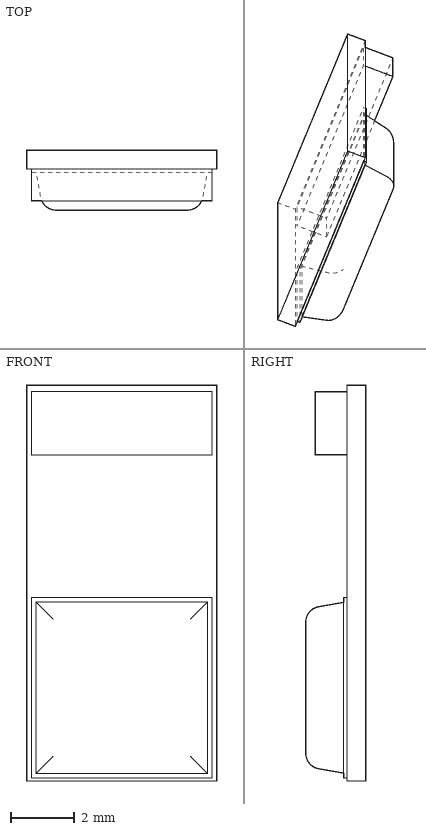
import cadquery as cq

board_width = 6.0
board_height = 12.5
board_thickness = 0.6

mounted_width = 5.7

block_height = 2.0
block_depth = 1.0
block_top_margin = 0.2

base_thickness = 0.1
base_bottom_margin = 0.1
cap_side = 5.4
cap_taper = 10.0
cap_edge_radius = 0.5
total_depth = 1.9
cap_depth = total_depth - board_thickness - base_thickness

board_front = -board_thickness
base_front = board_front - base_thickness
block_center_z = board_height - block_top_margin - block_height / 2
module_center_z = base_bottom_margin + mounted_width / 2


def plate(width, height, thickness, back_y, center_z, taper=0.0):
    """Rectangular plate centred on X = 0 that grows from back_y toward -Y."""
    back_plane = cq.Workplane("XZ", origin=(0, back_y, center_z))
    return back_plane.rect(width, height).extrude(thickness, taper=taper)


def make_board():
    """Board and its top block, as one solid."""
    panel = plate(board_width, board_height, board_thickness, 0, board_height / 2)
    block = plate(mounted_width, block_height, block_depth, board_front, block_center_z)
    return panel.union(block)


def make_module():
    """Square base and its tapered cap with rounded front edges, as one solid."""
    base = plate(mounted_width, mounted_width, base_thickness, board_front, module_center_z)
    cap = plate(cap_side, cap_side, cap_depth, base_front, module_center_z, cap_taper)
    cap = cap.faces("<Y").edges().fillet(cap_edge_radius)
    return base.union(cap)


board = make_board()
module = make_module()

result = cq.Compound.makeCompound([board.val(), module.val()])